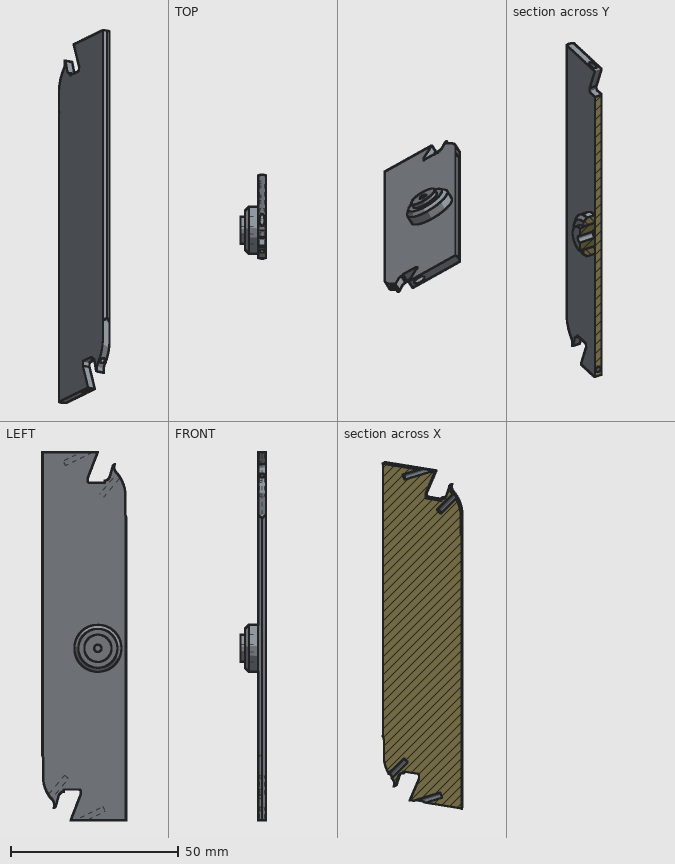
import cadquery as cq
import math

BLADE_LENGTH = 110.0
BLADE_WIDTH = 25.3
BLADE_THICKNESS = 2.4
HALF_LENGTH = BLADE_LENGTH / 2
HALF_WIDTH = BLADE_WIDTH / 2
MID_X = BLADE_THICKNESS / 2

RIDGE_HEIGHT = 0.3
RIDGE_END_Z = 36.3
RIDGE_RAMP = 1.1
SHOULDER_Y = HALF_WIDTH - RIDGE_HEIGHT

FLANK_END_Z = 42.9

CHANNEL_DIAMETER = 1.5
CHANNEL_DEPTH = 7.7
JAW_CHANNEL_MOUTH = (-1.0, HALF_LENGTH)
JAW_CHANNEL_SLOPE = 26.0
FLANK_CHANNEL_MOUTH = (-10.2, 48.0)
FLANK_CHANNEL_SLOPE = 50.0

CONNECTOR_Y = -4.1
CONNECTOR_Z = -3.6
COLLAR_RADIUS = 7.0
COLLAR_HEIGHT = 4.0
COLLAR_CHAMFER = 1.2
BOLT_RADIUS = 4.1
TOTAL_THICKNESS = 7.7
BOLT_HEIGHT = TOTAL_THICKNESS - BLADE_THICKNESS
BOLT_BORE_RADIUS = 1.1


def half_turn(shape):
    """Turn a shape half a revolution about the blade's X axis."""
    return shape.rotate((0, 0, 0), (1, 0, 0), 180)


def make_plate():
    """Plate without its insert seats."""
    return cq.Workplane("YZ").rect(2 * SHOULDER_Y, BLADE_LENGTH).extrude(BLADE_THICKNESS)


def make_ridge():
    """V-shaped ridge on the -Y edge, ramped down at its upper end."""
    ridge = (
        cq.Workplane("XY", origin=(0, 0, -HALF_LENGTH))
        .moveTo(0, -SHOULDER_Y)
        .lineTo(MID_X, -HALF_WIDTH)
        .lineTo(BLADE_THICKNESS, -SHOULDER_Y)
        .close()
        .extrude(HALF_LENGTH + RIDGE_END_Z)
    )
    ramp = (
        cq.Workplane("YZ")
        .moveTo(-SHOULDER_Y, RIDGE_END_Z)
        .lineTo(-HALF_WIDTH, RIDGE_END_Z - RIDGE_RAMP)
        .lineTo(-HALF_WIDTH, RIDGE_END_Z)
        .close()
        .extrude(BLADE_THICKNESS)
    )
    return ridge.cut(ramp)


def make_seat_cut():
    """Open insert seat at the +Z end, between the upper jaw and the pointed lower jaw."""
    return (
        cq.Workplane("YZ")
        .moveTo(-4.1, HALF_LENGTH)
        .lineTo(-1.1, 47.3)
        .lineTo(-1.1, 46.3)
        .threePointArc((-1.2, 46.0), (-1.5, 45.9))
        .lineTo(-6.0, 45.9)
        .lineTo(-6.0, 46.5)
        .lineTo(-6.5, 46.5)
        .threePointArc((-7.3, 47.1), (-7.7, 48.1))
        .lineTo(-8.6, 51.0)
        .lineTo(-9.1, 51.4)
        .lineTo(-9.0, 50.6)
        .threePointArc((-9.2, 49.4), (-10.0, 48.4))
        .threePointArc((-11.4, 46.1), (-SHOULDER_Y, FLANK_END_Z))
        .lineTo(-HALF_WIDTH, FLANK_END_Z)
        .lineTo(-HALF_WIDTH, HALF_LENGTH)
        .close()
        .extrude(BLADE_THICKNESS)
    )


def make_channel(mouth, slope):
    """Blind round channel that runs from its mouth down and toward +Y."""
    mouth_y, mouth_z = mouth
    angle = math.radians(slope)
    inward = cq.Vector(0, math.cos(angle), -math.sin(angle))
    overrun = 2 * CHANNEL_DIAMETER
    start = cq.Vector(MID_X, mouth_y, mouth_z) - inward * overrun
    channel = cq.Solid.makeCylinder(CHANNEL_DIAMETER / 2, CHANNEL_DEPTH + overrun, start, inward)
    return cq.Workplane(channel)


def make_blade():
    """Blade whose two ends match under a half turn."""
    blade = make_plate()
    ridge = make_ridge()
    cuts = [
        make_seat_cut(),
        make_channel(JAW_CHANNEL_MOUTH, JAW_CHANNEL_SLOPE),
        make_channel(FLANK_CHANNEL_MOUTH, FLANK_CHANNEL_SLOPE),
    ]
    blade = blade.union(ridge).union(half_turn(ridge))
    for cut in cuts:
        blade = blade.cut(cut).cut(half_turn(cut))
    return blade


def connector_plane():
    """Plane on the blade's -X face, centred on the connector and facing -X."""
    return cq.Workplane(cq.Plane((0, CONNECTOR_Y, CONNECTOR_Z), (0, 1, 0), (-1, 0, 0)))


def make_collar():
    """Round collar with a chamfered outer rim, bored for the bolt."""
    collar = connector_plane().circle(COLLAR_RADIUS).extrude(COLLAR_HEIGHT)
    collar = collar.faces("<X").chamfer(COLLAR_CHAMFER)
    return collar.cut(connector_plane().circle(BOLT_RADIUS).extrude(COLLAR_HEIGHT))


def make_bolt():
    """Hollow bolt that fills the collar's bore and stands proud of it."""
    return connector_plane().circle(BOLT_RADIUS).circle(BOLT_BORE_RADIUS).extrude(BOLT_HEIGHT)


blade = make_blade()
collar = make_collar()
bolt = make_bolt()

result = cq.Compound.makeCompound([blade.val(), collar.val(), bolt.val()])